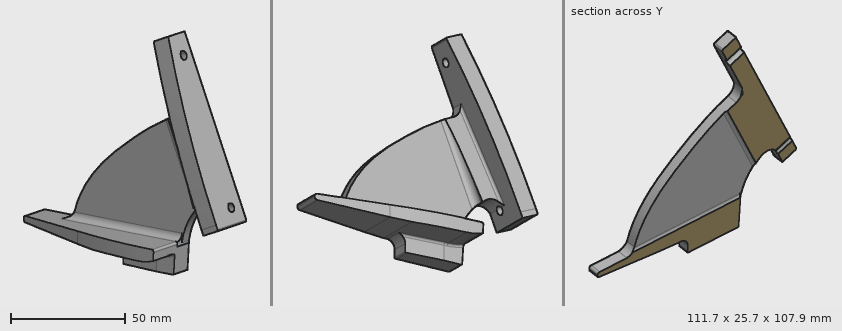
import cadquery as cq
import math


plate_tilt = 23.0
plate_top_x, plate_top_z = 69.7, 104.5
plate_length = 87.5
plate_thickness = 8.8
plate_top_width = 11.8
plate_bottom_width = 20.8
plate_straight_length = 2.9
plate_corner_radius = 0.9
hole_diameter = 4.0
holes = [(9.8, 5.8), (79.5, 7.3)]

base_top = 14.9
base_end_x = 80.3
base_tip_height = 2.9
base_tip_width = 14.0
base_tip_radius = 1.2
base_width = 25.7
base_end_radius = 1.0
base_bend_x = 34.6
base_bend_width = 20.7
base_bend_bottom = 9.0
base_flat_start_x, base_flat_end_x = 44.7, 71.5
base_flat_bottom = 8.4
base_end_bottom = 9.8

boss_start_x = 50.6
boss_end_x = 79.4
boss_bend_x = 69.8
boss_start_width = 8.6
boss_width = 10.0
boss_corner_radius = 0.6
boss_end_fillet = 4.0
boss_side_fillet = 1.1

web_thickness = 5.3
web_foot_x = 16.5
foot_radius = 3.2
pad_length = 9.5
pad_fillet = 3.4
pad_top_u, pad_top_width = 37.4, 6.3
pad_slope = 0.1
web_depth_limit = 12.1
plate_root_radius = 1.2
root_overlap = 2.2
bar_length = 122.9
bar_reach = 44.7

tilt = math.radians(plate_tilt)
down = cq.Vector(math.sin(tilt), 0, -math.cos(tilt))
outward = cq.Vector(math.cos(tilt), 0, math.sin(tilt))
front = cq.Vector(0, -1, 0)
plate_corner = cq.Vector(plate_top_x, 0, plate_top_z)


def plate_point(u, w):
    """XZ point at distance u down the plate and w outward of its inner face."""
    point = plate_corner + down * u + outward * w
    return point.x, point.z


def mid_tangent_arc(start, end):
    """Midpoint of a circular arc that ends with its tangent along the first axis."""
    run = end[0] - start[0]
    rise = end[1] - start[1]
    radius = (run**2 + rise**2) / (2 * rise)
    half_angle = math.asin(run / radius) / 2
    return end[0] - radius * math.sin(half_angle), end[1] - radius * (1 - math.cos(half_angle))


def make_plate():
    face = cq.Plane(origin=plate_corner.toTuple(), xDir=down.toTuple(), normal=outward.toTuple())
    curve_start = (0, -plate_top_width)
    curve_end = (plate_length - plate_straight_length, -plate_bottom_width)
    plate = (
        cq.Workplane(face)
        .moveTo(0, 0)
        .lineTo(*curve_start)
        .threePointArc(mid_tangent_arc(curve_start, curve_end), curve_end)
        .lineTo(plate_length, -plate_bottom_width)
        .lineTo(plate_length, 0)
        .close()
        .extrude(plate_thickness)
    )
    rounded_corners = [(0, 0), (plate_length, plate_thickness)]
    for u, w in rounded_corners:
        x, z = plate_point(u, w)
        plate = plate.edges(cq.selectors.NearestToPointSelector((x, -plate_top_width / 2, z)))
        plate = plate.fillet(plate_corner_radius)
    return plate


def drill_plate(body):
    for u, depth in holes:
        start = plate_corner + down * u + front * depth - outward * root_overlap
        length = plate_thickness + 2 * root_overlap
        body = body.cut(cq.Workplane(cq.Solid.makeCylinder(hole_diameter / 2, length, start, outward)))
    return body


def make_base():
    bend = (base_bend_x, -base_bend_width)
    front_end = (base_end_x, -base_width)
    plan = (
        cq.Workplane("XY")
        .moveTo(0, 0)
        .lineTo(0, -base_tip_width)
        .lineTo(*bend)
        .threePointArc(mid_tangent_arc(bend, front_end), front_end)
        .lineTo(base_end_x, 0)
        .close()
        .extrude(base_top)
    )
    side = (
        cq.Workplane("XZ")
        .moveTo(0, base_top)
        .lineTo(0, base_top - base_tip_height)
        .lineTo(base_bend_x, base_bend_bottom)
        .lineTo(base_flat_start_x, base_flat_bottom)
        .lineTo(base_flat_end_x, base_flat_bottom)
        .tangentArcPoint((base_end_x, base_end_bottom), relative=False)
        .lineTo(base_end_x, base_top)
        .close()
        .extrude(base_width)
    )
    base = plan.intersect(side)
    return base.faces("<X").edges("|Y").fillet(base_tip_radius)


def make_boss():
    boss = (
        cq.Workplane("XY")
        .moveTo(boss_start_x, 0)
        .lineTo(boss_start_x, -boss_start_width)
        .lineTo(boss_bend_x, -boss_width)
        .lineTo(base_end_x, -boss_width)
        .lineTo(base_end_x, 0)
        .close()
        .extrude(base_flat_bottom + root_overlap)
    )
    return boss.faces("<Z").edges("|Y and <X").fillet(boss_corner_radius)


def fillet_boss(body):
    """Blend the boss into the underside of the base."""
    def root_edge(x, y):
        return cq.selectors.NearestToPointSelector((x, y, base_flat_bottom))

    body = body.edges(root_edge(boss_start_x, -boss_start_width / 2)).fillet(boss_end_fillet)
    flat_middle = (boss_bend_x + boss_start_x) / 2
    side_middle = -(boss_width + boss_start_width) / 2
    return body.edges(root_edge(flat_middle, side_middle)).fillet(boss_side_fillet)


def finish_end(body):
    """Slope the common end of base and boss, then round its top and bottom edges."""
    slope_start_z = base_top - base_end_radius
    wedge = (
        cq.Workplane("XZ")
        .moveTo(boss_end_x, 0)
        .lineTo(base_end_x, slope_start_z)
        .lineTo(base_end_x + root_overlap, slope_start_z)
        .lineTo(base_end_x + root_overlap, 0)
        .close()
        .extrude(base_width)
    )
    top_edge = cq.selectors.NearestToPointSelector((base_end_x, -base_width / 2, base_top))
    body = body.edges(top_edge).fillet(base_end_radius).cut(wedge)
    bottom_edge = cq.selectors.NearestToPointSelector((boss_end_x, -boss_width / 2, 0))
    return body.edges(bottom_edge).fillet(boss_corner_radius)


def make_web_outline():
    """Web silhouette, including the flares into the base and the plate."""
    flare_drop = foot_radius * math.sqrt(0.5)
    flare_x, flare_z = 21.2, base_top + foot_radius
    back_edge = [(24.1, 25.8), (31.4, 37.1), (49.9, 54.1), (61.3, 62.1), (72.8, 68.7), (78.0, 71.0)]
    inner_w = plate_thickness / 2
    upper_u, lower_u = 29.0, 78.4
    buried_z = base_top - root_overlap
    return (
        cq.Workplane("XZ")
        .moveTo(web_foot_x, buried_z)
        .lineTo(web_foot_x, base_top)
        .threePointArc((flare_x - flare_drop, flare_z - flare_drop), (flare_x, flare_z))
        .spline(back_edge, includeCurrent=True)
        .threePointArc((80.7, 73.7), plate_point(upper_u, 0))
        .lineTo(*plate_point(upper_u, inner_w))
        .lineTo(*plate_point(lower_u, inner_w))
        .lineTo(*plate_point(lower_u, 0))
        .threePointArc((96.3, 34.5), (91.6, 33.2))
        .threePointArc((83.6, 23.6), (base_end_x, base_top - base_end_radius))
        .lineTo(base_end_x, buried_z)
        .close()
        .extrude(web_depth_limit)
    )


def make_foot():
    """Concave fillet along the front of the web where it meets the base."""
    front_y = -web_thickness
    reach = foot_radius * (1 - math.sqrt(0.5))
    return (
        cq.Workplane("YZ")
        .moveTo(0, 0)
        .lineTo(front_y - foot_radius, 0)
        .lineTo(front_y - foot_radius, base_top)
        .threePointArc((front_y - reach, base_top + reach), (front_y, base_top + foot_radius))
        .lineTo(0, base_top + foot_radius)
        .close()
        .extrude(base_end_x)
    )


def cross_plane(direction):
    """Plane across a bar, at the plate's top corner, whose normal is opposite to direction."""
    normal = direction * -1
    return cq.Plane(origin=plate_corner.toTuple(), xDir=outward.toTuple(), normal=normal.toTuple())


def concave_bar(direction, wall, floor, radius):
    """Bar along direction: a floor facing the front, filleted up to a wall facing inward.

    The wall lies at distance wall outward of the plate's inner face, and the floor
    lies at height floor in front of the plate's top back corner.
    """
    section = cross_plane(direction)
    reach = radius * (1 - math.sqrt(0.5))
    return (
        cq.Workplane(section)
        .moveTo(wall - bar_reach, bar_reach)
        .lineTo(wall - bar_reach, -floor)
        .lineTo(wall - radius, -floor)
        .threePointArc((wall - reach, -floor - reach), (wall, -floor - radius))
        .lineTo(wall, -floor - bar_reach)
        .lineTo(wall + bar_reach, -floor - bar_reach)
        .lineTo(wall + bar_reach, bar_reach)
        .close()
        .extrude(-bar_length)
    )


def make_pad():
    """Sloping thick band beside the plate, filleted to the web and to the plate."""
    wall_bar = concave_bar(down, -pad_length, web_thickness, pad_fillet)
    slope_direction = (down + front * pad_slope).normalized()
    pad_height = pad_top_width - pad_slope * pad_top_u
    slope_bar = concave_bar(slope_direction, 0, pad_height, plate_root_radius)
    band = (
        cq.Workplane(cross_plane(down))
        .rect(2 * (pad_length + pad_fillet), 2 * base_width)
        .extrude(-bar_length)
    )
    return wall_bar.intersect(slope_bar).intersect(band)


def make_web():
    outline = make_web_outline()
    slab = cq.Workplane("XY").box(bar_length, web_thickness, bar_length, centered=False)
    slab = slab.translate((0, -web_thickness, 0))
    web = outline.intersect(slab)
    web = web.union(outline.intersect(make_foot()))
    return web.union(outline.intersect(make_pad()))


base = finish_end(fillet_boss(make_base().union(make_boss())))
result = drill_plate(base.union(make_web()).union(make_plate()))